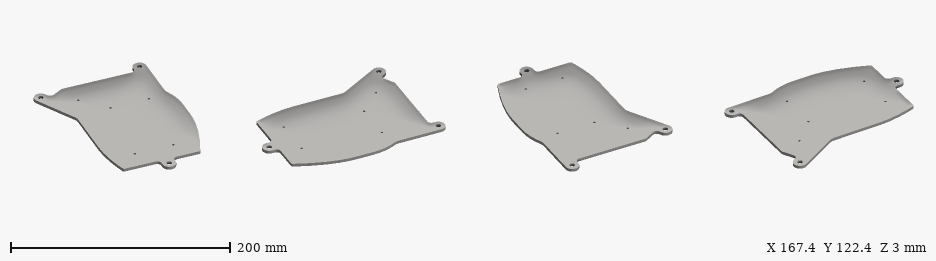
import cadquery as cq
import math

length = 167.4
width = 122.4
thickness = 3.0

lug_radius = 6.5
lug_hole_diameter = 5.0
small_hole_diameter = 2.3
left_lug = (lug_radius, 109.0)
right_lug = (length - lug_radius, 74.2)
lower_lug = (18.2, lug_radius)
arm_angle = math.radians(30)

left_pair_y = 97.0
right_pair_y = 88.9
pair_spacing = 38.0
left_pair_x = 58.0
right_pair_x = 135.1
single_hole = (35.3, 36.3)
small_holes = [
    (left_pair_x, left_pair_y),
    (left_pair_x, left_pair_y - pair_spacing),
    (right_pair_x, right_pair_y),
    (right_pair_x, right_pair_y - pair_spacing),
    single_hole,
]

left_x = 12.7
right_x = 154.2
bottom_y = 24.3
waist_y = 29.3
shoulder_y = left_lug[1] + lug_radius

hump_radius = 55.2
hump_end_x = 78.7
top_curve_start = (95.5, width)
top_curve_control = (119.9, width)
top_curve_end = (right_x, 107.8)
bottom_curve_start = (112.5, bottom_y)
bottom_curve_control = (130.5, bottom_y)
bottom_curve_end = (right_x, 31.8)

lug_fillet = 4.0
waist_fillet = 4.0
elbow_fillet = 10.0
shoulder_fillet = 7.2
end_fillet = 2.0


def on_circle(center, radius, angle):
    """Point of a circle at an angle in radians from +X."""
    return (center[0] + radius * math.cos(angle), center[1] + radius * math.sin(angle))


slope = math.tan(arm_angle)
arm_upper = on_circle(lower_lug, lug_radius, arm_angle + math.pi / 2)
arm_tip = on_circle(lower_lug, lug_radius, arm_angle + math.pi)
arm_lower = on_circle(lower_lug, lug_radius, arm_angle - math.pi / 2)
elbow = (arm_lower[0] + (bottom_y - arm_lower[1]) / slope, bottom_y)
waist = (left_x, waist_y)
armpit_x = (waist_y + left_x / slope - arm_upper[1] + slope * arm_upper[0]) / (slope + 1 / slope)
armpit = (armpit_x, arm_upper[1] + slope * (armpit_x - arm_upper[0]))

left_root = (left_x, left_lug[1] - lug_radius)
right_root_low = (right_x, right_lug[1] - lug_radius)
right_root_high = (right_x, right_lug[1] + lug_radius)

hump_center = (hump_end_x, width - hump_radius)
hump_start_angle = math.pi - math.asin((shoulder_y - hump_center[1]) / hump_radius)
hump_start = on_circle(hump_center, hump_radius, hump_start_angle)
hump_middle = on_circle(hump_center, hump_radius, (hump_start_angle + math.pi / 2) / 2)

outline = (
    cq.Workplane("XY")
    .moveTo(*waist)
    .lineTo(*armpit)
    .lineTo(*arm_upper)
    .threePointArc(arm_tip, arm_lower)
    .lineTo(*elbow)
    .lineTo(*bottom_curve_start)
    .bezier([bottom_curve_start, bottom_curve_control, bottom_curve_end])
    .lineTo(*right_root_low)
    .lineTo(right_lug[0], right_root_low[1])
    .threePointArc((length, right_lug[1]), (right_lug[0], right_root_high[1]))
    .lineTo(*right_root_high)
    .lineTo(*top_curve_end)
    .bezier([top_curve_end, top_curve_control, top_curve_start])
    .lineTo(hump_end_x, width)
    .threePointArc(hump_middle, hump_start)
    .lineTo(left_lug[0], shoulder_y)
    .threePointArc((0, left_lug[1]), (left_lug[0], left_root[1]))
    .lineTo(*left_root)
    .close()
)
plate = outline.extrude(thickness)

corner_radii = [
    (waist, waist_fillet),
    (armpit, lug_fillet),
    (elbow, elbow_fillet),
    (bottom_curve_end, end_fillet),
    (right_root_low, lug_fillet),
    (right_root_high, lug_fillet),
    (top_curve_end, end_fillet),
    (hump_start, shoulder_fillet),
    (left_root, lug_fillet),
]
for corner, radius in corner_radii:
    corner_edge = cq.selectors.NearestToPointSelector((*corner, thickness / 2))
    plate = plate.edges(corner_edge).fillet(radius)


def drill(body, centers, diameter):
    """Cut through holes at the given centers."""
    pins = cq.Workplane("XY").pushPoints(centers).circle(diameter / 2).extrude(thickness)
    return body.cut(pins)


plate = drill(plate, [left_lug, right_lug, lower_lug], lug_hole_diameter)
result = drill(plate, small_holes, small_hole_diameter)